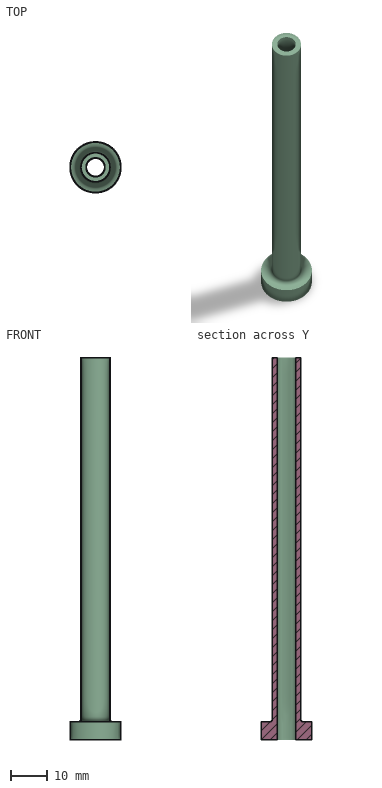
import cadquery as cq

total_length = 105.0
head_diameter = 14.0
head_height = 5.0
shaft_diameter = 8.0
bore_diameter = 5.0
neck_fillet_radius = 0.5

head = cq.Workplane("XY").circle(head_diameter / 2).extrude(head_height)

sleeve = head.union(cq.Workplane("XY").circle(shaft_diameter / 2).extrude(total_length))

neck_edges = sleeve.faces(">Z[1]").edges(cq.selectors.RadiusNthSelector(0))
sleeve = neck_edges.fillet(neck_fillet_radius)

bore = cq.Workplane("XY").circle(bore_diameter / 2).extrude(total_length)
result = sleeve.cut(bore)